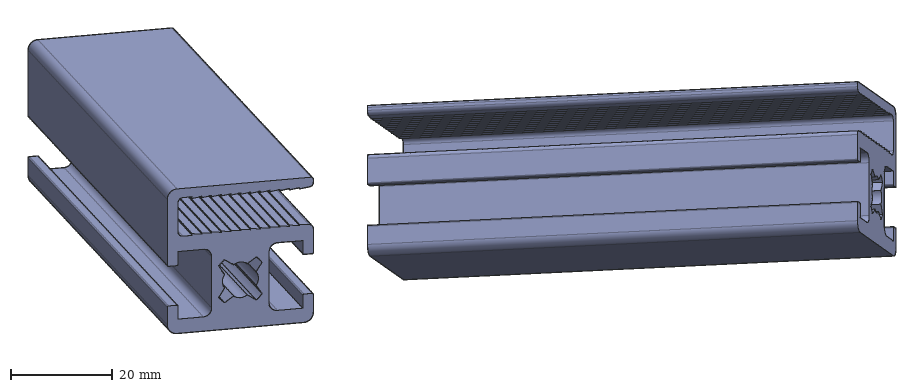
import cadquery as cq
import math

LENGTH = 100.0
SIDE = 30.0
HALF_SIDE = SIDE / 2
WALL = 2.2
OUTER_RADIUS = 2.0
GROOVE_LIP_RADIUS = 0.5

SLOT_CENTRE_Z = 10.0
SLOT_MOUTH = 8.2
SLOT_LIP_RADIUS = 0.25
SLOT_CHAMBER_HEIGHT = 14.0
SLOT_CHAMBER_RADIUS = 1.7
WEB_WIDTH = 11.8

GROOVE_BOTTOM = 20.1
GROOVE_TOP = 28.1
GROOVE_MID_Z = (GROOVE_BOTTOM + GROOVE_TOP) / 2
GROOVE_CORNER_RADIUS = 1.0
GROOVE_MOUTH_RADIUS = 0.9
FIRST_TIP_Y = 12.1
TOOTH_COUNT = 12
TOOTH_PITCH = 2.0
TOOTH_ROOT = 0.1
TOOTH_HEIGHT = 0.25

CORE_ARC_COUNT = 4
CORE_RADIUS = 3.7
CHANNEL_MOUTH_RADIUS = 3.5
CHANNEL_MOUTH_WIDTH = 2.6
CHANNEL_TIP_RADIUS = 5.5
CHANNEL_TIP_WIDTH = 1.7


def prism(y_min, y_max, z_min, z_max):
    """Full-length block spanning the given Y and Z ranges."""
    return (
        cq.Workplane("YZ")
        .center((y_min + y_max) / 2, (z_min + z_max) / 2)
        .rect(y_max - y_min, z_max - z_min)
        .extrude(LENGTH)
    )


def outer_block():
    """Square bar with rounded long edges; the one above the groove mouth is smaller."""
    block = prism(-HALF_SIDE, HALF_SIDE, 0, SIDE)
    block = block.edges("|X and <Z").fillet(OUTER_RADIUS)
    block = block.edges("|X and >Z and <Y").fillet(OUTER_RADIUS)
    return block.edges("|X and >Z and >Y").fillet(GROOVE_LIP_RADIUS)


def t_slot():
    """Cutter for the T-slot on the +Y side."""
    half_chamber = SLOT_CHAMBER_HEIGHT / 2
    half_mouth = SLOT_MOUTH / 2
    web_face = WEB_WIDTH / 2
    chamber = prism(
        web_face, HALF_SIDE - WALL, SLOT_CENTRE_Z - half_chamber, SLOT_CENTRE_Z + half_chamber
    )
    chamber = chamber.edges("|X and <Y").fillet(SLOT_CHAMBER_RADIUS)
    mouth = prism(
        web_face + SLOT_CHAMBER_RADIUS, HALF_SIDE, SLOT_CENTRE_Z - half_mouth, SLOT_CENTRE_Z + half_mouth
    )
    return chamber.union(mouth)


def panel_groove():
    """Cutter for the groove: its lower half, with saw teeth, mirrored about mid-height."""
    tooth_root_z = GROOVE_BOTTOM + TOOTH_ROOT
    tooth_tip_z = tooth_root_z + TOOTH_HEIGHT
    groove_end_y = WALL - HALF_SIDE

    outline = (
        cq.Workplane("YZ")
        .moveTo(HALF_SIDE, GROOVE_MID_Z)
        .lineTo(HALF_SIDE, tooth_root_z - GROOVE_MOUTH_RADIUS)
        .radiusArc((HALF_SIDE - GROOVE_MOUTH_RADIUS, tooth_root_z), -GROOVE_MOUTH_RADIUS)
    )
    for tooth in range(TOOTH_COUNT):
        tip_y = FIRST_TIP_Y - tooth * TOOTH_PITCH
        drop_z = GROOVE_BOTTOM if tooth == TOOTH_COUNT - 1 else tooth_root_z
        outline = outline.lineTo(tip_y, tooth_tip_z).lineTo(tip_y, drop_z)
    outline = (
        outline.lineTo(groove_end_y + GROOVE_CORNER_RADIUS, GROOVE_BOTTOM)
        .radiusArc((groove_end_y, GROOVE_BOTTOM + GROOVE_CORNER_RADIUS), GROOVE_CORNER_RADIUS)
        .lineTo(groove_end_y, GROOVE_MID_Z)
        .close()
    )
    lower_half = outline.extrude(LENGTH)
    upper_half = lower_half.mirror("XY", (0, 0, GROOVE_MID_Z))
    return lower_half.union(upper_half)


def core_point(radius, angle):
    """YZ point at a polar position about the core axis, with the angle measured from +Y."""
    return radius * math.cos(angle), SLOT_CENTRE_Z + radius * math.sin(angle)


def core_hole():
    """Cutter for the core hole, drawn anticlockwise one arc and one channel at a time."""
    step = 2 * math.pi / CORE_ARC_COUNT
    mouth_half_angle = math.asin(CHANNEL_MOUTH_WIDTH / 2 / CHANNEL_MOUTH_RADIUS)
    tip_half_angle = math.asin(CHANNEL_TIP_WIDTH / 2 / CHANNEL_TIP_RADIUS)

    outline = cq.Workplane("YZ").moveTo(*core_point(CHANNEL_MOUTH_RADIUS, mouth_half_angle - step / 2))
    for index in range(CORE_ARC_COUNT):
        arc_angle = index * step
        channel_angle = arc_angle + step / 2
        outline = (
            outline.threePointArc(
                core_point(CORE_RADIUS, arc_angle),
                core_point(CHANNEL_MOUTH_RADIUS, channel_angle - mouth_half_angle),
            )
            .lineTo(*core_point(CHANNEL_TIP_RADIUS, channel_angle - tip_half_angle))
            .threePointArc(
                core_point(CHANNEL_TIP_RADIUS, channel_angle),
                core_point(CHANNEL_TIP_RADIUS, channel_angle + tip_half_angle),
            )
            .lineTo(*core_point(CHANNEL_MOUTH_RADIUS, channel_angle + mouth_half_angle))
        )
    return outline.close().extrude(LENGTH)


def is_lip_edge(edge):
    """True for the long edges of the four lips that flank the slot mouths."""
    height_from_slot_centre = abs(edge.Center().z - SLOT_CENTRE_Z)
    return math.isclose(height_from_slot_centre, SLOT_MOUTH / 2, abs_tol=SLOT_LIP_RADIUS / 2)


left_slot = t_slot()
slotted_bar = outer_block().cut(left_slot).cut(left_slot.mirror("XZ"))
slotted_bar = slotted_bar.edges("|X").filter(is_lip_edge).fillet(SLOT_LIP_RADIUS)
result = slotted_bar.cut(panel_groove()).cut(core_hole())